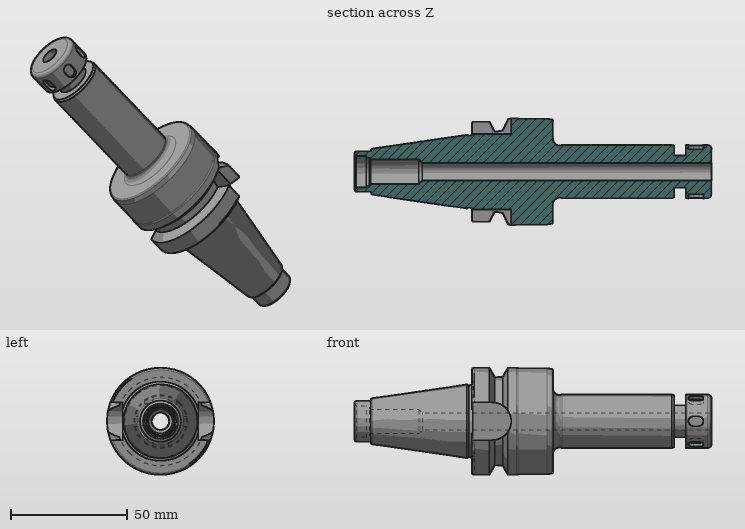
import cadquery as cq
import math

LENGTH = 153.4

PILOT_RADIUS = 17.6 / 2
PILOT_ROUND = 1.0
TAPER_START = 7.0
TAPER_ROUND = 0.8
TAPER_SLOPE = 7 / 48
GAUGE_RADIUS = 31.8 / 2
GAUGE_X = 48.3
NECK_RADIUS = 15.5
NECK_CHAMFER_X = 0.8

UNDERCUT_RADIUS = 17.0
UNDERCUT_DEPTH = 0.5

FLANGE_RADIUS = 23.0
FLANGE_FACE_X = 50.5
FLANGE_END_X = 85.3
FLANGE_ROUND = 0.9
GROOVE_CENTRE_X = 62.0
GROOVE_TOP_WIDTH = 8.0
GROOVE_RADIUS = 19.0
GROOVE_FLANK_ANGLE = 30.0
COLLAR_RADIUS = 22.9
COLLAR_START_X = 69.5
COLLAR_LEAD = 0.8
COLLAR_END_X = 82.7
COLLAR_RIM_RADIUS = 22.4
COLLAR_ROUND = 0.6

SHANK_RADIUS = 11.5
SHANK_ROOT_RADIUS = 22.5 / 2
SHANK_ROOT_LEAD = 0.9
SHANK_FILLET = 2.9
SHANK_END_X = 137.5
SHANK_CHAMFER_X = 1.0
SHANK_CHAMFER_R = 0.5
NOSE_RADIUS = 14.0 / 2
NUT_RADIUS = SHANK_RADIUS
NUT_START_X = 142.2
NUT_BACK_ROUND = 0.5
NUT_FRONT_ROUND = 1.8

KEY_COUNT = 2
KEY_WIDTH = 16.1
KEY_FLOOR = 16.3
KEY_END_X = 67.3

SLOT_COUNT = 6
SLOT_CENTRE_X = 146.7
SLOT_LENGTH = 6.5
SLOT_WIDTH = 4.1
SLOT_DEPTH = 1.8

BORE_MOUTH_RADIUS = 7.5
BORE_MOUTH_CHAMFER_X = 0.8
COUNTERBORE_RADIUS = 13.3 / 2
COUNTERBORE_DEPTH = 5.0
THREAD_LEAD_RADIUS = 6.0
THREAD_LEAD_LENGTH = 1.2
THREAD_RADIUS = 5.2
THREAD_DEPTH = 27.6
BORE_RADIUS = 3.7

TOL = 0.002


def turned_body():
    """Solid of revolution of the taper, flange, collar, shank and nut."""
    groove_flank = (FLANGE_RADIUS - GROOVE_RADIUS) * math.tan(math.radians(GROOVE_FLANK_ANGLE))
    groove_start = GROOVE_CENTRE_X - GROOVE_TOP_WIDTH / 2
    groove_end = GROOVE_CENTRE_X + GROOVE_TOP_WIDTH / 2
    taper_start_radius = GAUGE_RADIUS - (GAUGE_X - TAPER_START) * TAPER_SLOPE
    undercut_x = FLANGE_FACE_X + UNDERCUT_DEPTH
    undercut_fillet = UNDERCUT_RADIUS - NECK_RADIUS
    shank_root_x = FLANGE_END_X + SHANK_FILLET
    profile = (
        cq.Workplane("XY")
        .moveTo(0, 0)
        .lineTo(0, PILOT_RADIUS)
        .lineTo(TAPER_START, PILOT_RADIUS)
        .lineTo(TAPER_START, taper_start_radius)
        .lineTo(GAUGE_X, GAUGE_RADIUS)
        .lineTo(GAUGE_X + NECK_CHAMFER_X, NECK_RADIUS)
        .lineTo(undercut_x - undercut_fillet, NECK_RADIUS)
        .radiusArc((undercut_x, UNDERCUT_RADIUS), -undercut_fillet)
        .lineTo(FLANGE_FACE_X, UNDERCUT_RADIUS)
        .lineTo(FLANGE_FACE_X, FLANGE_RADIUS)
        .lineTo(groove_start, FLANGE_RADIUS)
        .lineTo(groove_start + groove_flank, GROOVE_RADIUS)
        .lineTo(groove_end - groove_flank, GROOVE_RADIUS)
        .lineTo(groove_end, FLANGE_RADIUS)
        .lineTo(COLLAR_START_X, FLANGE_RADIUS)
        .lineTo(COLLAR_START_X + COLLAR_LEAD, COLLAR_RADIUS)
        .lineTo(COLLAR_END_X, COLLAR_RADIUS)
        .lineTo(FLANGE_END_X, COLLAR_RIM_RADIUS)
        .lineTo(FLANGE_END_X, SHANK_ROOT_RADIUS + SHANK_FILLET)
        .radiusArc((shank_root_x, SHANK_ROOT_RADIUS), -SHANK_FILLET)
        .lineTo(shank_root_x + SHANK_ROOT_LEAD, SHANK_RADIUS)
        .lineTo(SHANK_END_X - SHANK_CHAMFER_X, SHANK_RADIUS)
        .lineTo(SHANK_END_X, SHANK_RADIUS - SHANK_CHAMFER_R)
        .lineTo(SHANK_END_X, NOSE_RADIUS)
        .lineTo(NUT_START_X, NOSE_RADIUS)
        .lineTo(NUT_START_X, NUT_RADIUS)
        .lineTo(LENGTH, NUT_RADIUS)
        .lineTo(LENGTH, 0)
        .close()
    )
    body = profile.revolve(360, (0, 0, 0), (1, 0, 0))
    body = round_rim(body, 0, PILOT_RADIUS, PILOT_ROUND)
    body = round_rim(body, TAPER_START, taper_start_radius, TAPER_ROUND)
    body = round_rim(body, FLANGE_FACE_X, FLANGE_RADIUS, FLANGE_ROUND)
    body = round_rim(body, FLANGE_END_X, COLLAR_RIM_RADIUS, COLLAR_ROUND)
    body = round_rim(body, NUT_START_X, NUT_RADIUS, NUT_BACK_ROUND)
    return round_rim(body, LENGTH, NUT_RADIUS, NUT_FRONT_ROUND)


def round_rim(body, x, radius, fillet):
    """Fillet the circular edge of the given radius at one place along the axis."""

    def is_rim(edge):
        if edge.geomType() != "CIRCLE":
            return False
        at_place = math.isclose(edge.Center().x, x, abs_tol=TOL)
        return at_place and math.isclose(edge.radius(), radius, abs_tol=TOL)

    return body.edges().filter(is_rim).fillet(fillet)


def bore():
    """Stepped through-bore with 45 degree cones into the thread and the coolant hole."""
    lead_end = COUNTERBORE_DEPTH + THREAD_LEAD_LENGTH
    return (
        cq.Workplane("XY")
        .moveTo(0, 0)
        .lineTo(0, BORE_MOUTH_RADIUS)
        .lineTo(BORE_MOUTH_CHAMFER_X, COUNTERBORE_RADIUS)
        .lineTo(COUNTERBORE_DEPTH, COUNTERBORE_RADIUS)
        .lineTo(COUNTERBORE_DEPTH, THREAD_LEAD_RADIUS)
        .lineTo(lead_end, THREAD_LEAD_RADIUS)
        .lineTo(lead_end + THREAD_LEAD_RADIUS - THREAD_RADIUS, THREAD_RADIUS)
        .lineTo(THREAD_DEPTH, THREAD_RADIUS)
        .lineTo(THREAD_DEPTH + THREAD_RADIUS - BORE_RADIUS, BORE_RADIUS)
        .lineTo(LENGTH, BORE_RADIUS)
        .lineTo(LENGTH, 0)
        .close()
        .revolve(360, (0, 0, 0), (1, 0, 0))
    )


def keyway():
    """Round-ended keyway open toward the taper, on the -Y side."""
    half_width = KEY_WIDTH / 2
    arc_centre_x = KEY_END_X - half_width
    return (
        cq.Workplane("XZ", origin=(0, -KEY_FLOOR, 0))
        .moveTo(FLANGE_FACE_X, -half_width)
        .lineTo(arc_centre_x, -half_width)
        .threePointArc((KEY_END_X, 0), (arc_centre_x, half_width))
        .lineTo(FLANGE_FACE_X, half_width)
        .close()
        .extrude(FLANGE_RADIUS - KEY_FLOOR)
    )


def spanner_slot():
    """Flat-bottomed slot in the nut, on the -Y side."""
    return (
        cq.Workplane("XZ", origin=(SLOT_CENTRE_X, -(NUT_RADIUS - SLOT_DEPTH), 0))
        .slot2D(SLOT_LENGTH, SLOT_WIDTH)
        .extrude(SLOT_DEPTH)
    )


def around_axis(shape, count):
    """Copies of a shape evenly spaced about the X axis."""
    return [shape.rotate((0, 0, 0), (1, 0, 0), i * 360 / count) for i in range(count)]


result = turned_body().cut(bore())
for cutter in around_axis(keyway(), KEY_COUNT) + around_axis(spanner_slot(), SLOT_COUNT):
    result = result.cut(cutter)